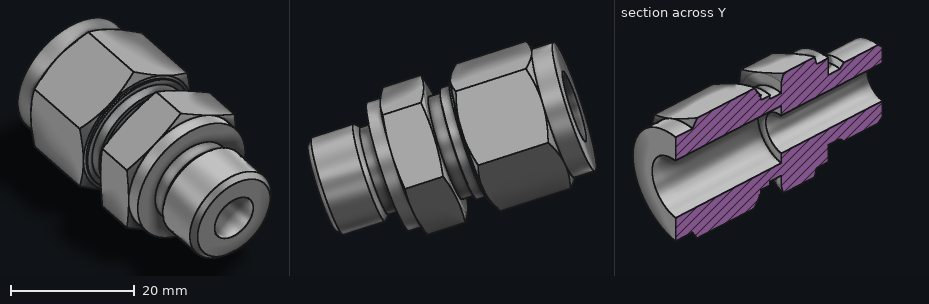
import cadquery as cq
import math


across_flats = 22.0
across_corners = across_flats / math.cos(math.radians(30))
nut_chamfer_angle = 30.0
body_chamfer_angle = 15.0

nut_collar_diameter = across_flats
nut_rim_diameter = 20.9
shoulder_diameter = 19.05
neck_diameter = 17.5
flange_diameter = across_flats
thread_diameter = 16.66
undercut_diameter = 14.86
tube_bore_diameter = 12.0
through_bore_diameter = 7.9

nut_hex_start = 3.5
nut_hex_end = 17.45
nut_rim_end = 17.85
shoulder_end = 19.7
body_hex_start = 22.0
body_hex_end = 29.45
flange_end = 31.85
undercut_end = 34.2
overall_length = 43.1

thread_taper_length = 0.85
thread_end_chamfer = (thread_diameter - undercut_diameter) / 2

tube_bore_depth = body_hex_start


def cylinder(diameter, start, end):
    """Round section along X between two stations."""
    return cq.Workplane("YZ", origin=(start, 0, 0)).circle(diameter / 2).extrude(end - start)


def chamfered_hexagon(start, end, chamfer_angle):
    """Hexagon with corners at +Z and -Z, its corners turned off by a cone at each end."""
    prism = (
        cq.Workplane("YZ", origin=(start, 0, 0))
        .polygon(6, across_corners)
        .extrude(end - start)
        .rotate((0, 0, 0), (1, 0, 0), 90)
    )
    flat_radius = across_flats / 2
    corner_radius = across_corners / 2
    chamfer_length = (corner_radius - flat_radius) * math.tan(math.radians(chamfer_angle))
    envelope = (
        cq.Workplane("XY")
        .moveTo(start, 0)
        .lineTo(start, flat_radius)
        .lineTo(start + chamfer_length, corner_radius)
        .lineTo(end - chamfer_length, corner_radius)
        .lineTo(end, flat_radius)
        .lineTo(end, 0)
        .close()
        .revolve(360, (0, 0, 0), (1, 0, 0))
    )
    return prism.intersect(envelope)


def threaded_end():
    """Plain cylinder at thread size, tapered at the undercut and at the free end."""
    thread_radius = thread_diameter / 2
    tapered_radius = undercut_diameter / 2
    return (
        cq.Workplane("XY")
        .moveTo(undercut_end, 0)
        .lineTo(undercut_end, tapered_radius)
        .lineTo(undercut_end + thread_taper_length, thread_radius)
        .lineTo(overall_length - thread_end_chamfer, thread_radius)
        .lineTo(overall_length, tapered_radius)
        .lineTo(overall_length, 0)
        .close()
        .revolve(360, (0, 0, 0), (1, 0, 0))
    )


def nut():
    collar = cylinder(nut_collar_diameter, 0, nut_hex_start)
    hexagon = chamfered_hexagon(nut_hex_start, nut_hex_end, nut_chamfer_angle)
    rim = cylinder(nut_rim_diameter, nut_hex_end, nut_rim_end)
    return collar.union(hexagon).union(rim)


def body():
    shoulder = cylinder(shoulder_diameter, nut_rim_end, shoulder_end)
    neck = cylinder(neck_diameter, shoulder_end, body_hex_start)
    hexagon = chamfered_hexagon(body_hex_start, body_hex_end, body_chamfer_angle)
    flange = cylinder(flange_diameter, body_hex_end, flange_end)
    undercut = cylinder(undercut_diameter, flange_end, undercut_end)
    return shoulder.union(neck).union(hexagon).union(flange).union(undercut).union(threaded_end())


def bores():
    tube_bore = cylinder(tube_bore_diameter, 0, tube_bore_depth)
    through_bore = cylinder(through_bore_diameter, 0, overall_length)
    return tube_bore.union(through_bore)


result = nut().union(body()).cut(bores())